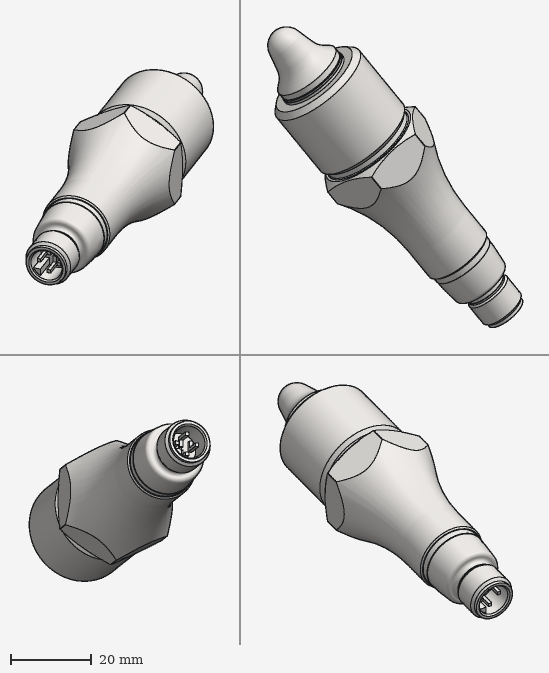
import cadquery as cq
import math

LENGTH = 96.45

MID_QUARTER = 45.0

PLUG_DIAMETER = 12.0
PLUG_END_DIAMETER = 10.6
PLUG_NECK_DIAMETER = 10.6
PLUG_LEDGE_DIAMETER = 11.0
PLUG_END_LENGTH = 0.9
PLUG_LEDGE_START = 7.9
PLUG_NECK_START = 8.35
PLUG_NECK_END = 8.95

SLEEVE_FACE = 9.95
SLEEVE_FRONT_DIAMETER = 15.5
SLEEVE_EDGE_RADIUS = 1.1
SLEEVE_SHOULDER = 18.05
SLEEVE_DIAMETER = 16.6
SLEEVE_SHOULDER_STEP = 0.1
NECK_FILLET = SLEEVE_FACE - PLUG_NECK_END

GRIP_START = 19.8
GRIP_DIAMETER = 18.0
GRIP_CHAMFER = 0.4
BELL_START = 29.0
BELL_RADIUS = 44.0
HEX_SIDES = 6
HEX_ACROSS_FLATS = 27.0
HEX_CORNER_DIAMETER = 31.09
HEX_FACE = 57.6
HEX_FACE_DIAMETER = 26.2
HEX_CHAMFER_ANGLE = 30.0

RELIEF_DIAMETER = 24.4
RELIEF_CHAMFER = 0.25
BARREL_START = 59.2
BARREL_END = 80.2
BARREL_DIAMETER = 26.44
BARREL_END_CHAMFER = 1.5

RIM_DIAMETER = 18.4
RIM_END = 80.9
COLLAR_DIAMETER = 18.0
COLLAR_GROOVE_START = 81.35
COLLAR_GROOVE_WIDTH = 0.3
COLLAR_GROOVE_DEPTH = 0.1
COLLAR_END = 83.3
FLARE_ANGLE = 45.0
FLARE_END = 84.8
TIP_TAPER_ANGLE = 13.0
TIP_CURVE_RADIUS = 6.7
DOME_RADIUS = 4.7

SOCKET_DIAMETER = 8.3
SOCKET_MOUTH_DIAMETER = 9.1
SOCKET_DEPTH = 7.0
KEY_CORNER = 1.85
KEY_SETBACK = 1.0

CONTACT_WIDTH = 0.9
RIB_LENGTH = 2.6
RIB_HEIGHT = 1.0
PIN_HEIGHT = 0.9
PIN_SETBACK = 2.0
END_CONTACT_OUTER = 3.05
SIDE_CONTACT_OFFSET = 2.62
SIDE_CONTACT_BOTTOM = -0.45


def point_on_circle(center, radius, angle):
    """Point of a circle in (radius, Y) coordinates, the angle in degrees from the radial axis."""
    turn = math.radians(angle)
    return (center[0] + radius * math.cos(turn), center[1] + radius * math.sin(turn))


def make_plug_and_bell():
    """Turned half from the plug face to the chamfered hexagon face, before its flats are cut."""
    plug = PLUG_DIAMETER / 2
    plug_end = PLUG_END_DIAMETER / 2
    ledge = PLUG_LEDGE_DIAMETER / 2
    neck = PLUG_NECK_DIAMETER / 2
    sleeve_front = SLEEVE_FRONT_DIAMETER / 2
    sleeve = SLEEVE_DIAMETER / 2
    grip = GRIP_DIAMETER / 2
    corner = HEX_CORNER_DIAMETER / 2
    hex_face = HEX_FACE_DIAMETER / 2

    neck_fillet_center = (neck + NECK_FILLET, PLUG_NECK_END)
    sleeve_edge_center = (sleeve_front - SLEEVE_EDGE_RADIUS, SLEEVE_FACE + SLEEVE_EDGE_RADIUS)
    sleeve_end = SLEEVE_SHOULDER - SLEEVE_SHOULDER_STEP
    sleeve_length = sleeve_end - sleeve_edge_center[1]
    sleeve_drop = sleeve - sleeve_front
    sleeve_radius = (sleeve_length**2 + sleeve_drop**2) / (2 * sleeve_drop)
    sleeve_center = (sleeve - sleeve_radius, sleeve_end)
    sleeve_angle = math.degrees(math.asin(sleeve_length / sleeve_radius))

    bell_center = (grip + BELL_RADIUS, BELL_START)
    bell_angle = math.degrees(math.acos(1 - (corner - grip) / BELL_RADIUS))
    bell_end = BELL_START + BELL_RADIUS * math.sin(math.radians(bell_angle))
    chamfer_height = (corner - hex_face) * math.tan(math.radians(HEX_CHAMFER_ANGLE))

    return (
        cq.Workplane("XY")
        .moveTo(0, 0)
        .lineTo(plug_end, 0)
        .lineTo(plug_end, PLUG_END_LENGTH)
        .lineTo(plug, PLUG_END_LENGTH + plug - plug_end)
        .lineTo(plug, PLUG_LEDGE_START - (plug - ledge))
        .lineTo(ledge, PLUG_LEDGE_START)
        .lineTo(ledge, PLUG_NECK_START)
        .lineTo(neck, PLUG_NECK_START)
        .lineTo(neck, PLUG_NECK_END)
        .threePointArc(
            point_on_circle(neck_fillet_center, NECK_FILLET, 180 - MID_QUARTER),
            (neck + NECK_FILLET, SLEEVE_FACE),
        )
        .lineTo(sleeve_front - SLEEVE_EDGE_RADIUS, SLEEVE_FACE)
        .threePointArc(
            point_on_circle(sleeve_edge_center, SLEEVE_EDGE_RADIUS, -MID_QUARTER),
            (sleeve_front, SLEEVE_FACE + SLEEVE_EDGE_RADIUS),
        )
        .threePointArc(
            point_on_circle(sleeve_center, sleeve_radius, -sleeve_angle / 2),
            (sleeve, sleeve_end),
        )
        .lineTo(sleeve + SLEEVE_SHOULDER_STEP, SLEEVE_SHOULDER)
        .lineTo(sleeve + SLEEVE_SHOULDER_STEP, GRIP_START)
        .lineTo(grip - GRIP_CHAMFER, GRIP_START)
        .lineTo(grip, GRIP_START + GRIP_CHAMFER)
        .lineTo(grip, BELL_START)
        .threePointArc(
            point_on_circle(bell_center, BELL_RADIUS, 180 - bell_angle / 2),
            (corner, bell_end),
        )
        .lineTo(corner, HEX_FACE - chamfer_height)
        .lineTo(hex_face, HEX_FACE)
        .lineTo(0, HEX_FACE)
        .close()
        .revolve(360, (0, 0), (0, 1))
    )


def make_hexagon():
    """Hexagonal prism with corners at +Z and -Z and flats at +X and -X."""
    across_corners = HEX_ACROSS_FLATS / math.cos(math.pi / HEX_SIDES)
    return (
        cq.Workplane("XZ")
        .polygon(HEX_SIDES, across_corners)
        .extrude(-HEX_FACE)
        .rotate((0, 0, 0), (0, 1, 0), 90)
    )


def make_barrel_and_tip():
    """Turned half from the hexagon face to the rounded tip."""
    relief = RELIEF_DIAMETER / 2
    barrel = BARREL_DIAMETER / 2
    rim = RIM_DIAMETER / 2
    collar = COLLAR_DIAMETER / 2
    groove = collar - COLLAR_GROOVE_DEPTH
    groove_end = COLLAR_GROOVE_START + COLLAR_GROOVE_WIDTH

    flare_turn = math.radians(FLARE_ANGLE)
    flare_end = collar - (FLARE_END - COLLAR_END) * math.tan(flare_turn)
    curve_center = (
        flare_end + TIP_CURVE_RADIUS * math.cos(flare_turn),
        FLARE_END + TIP_CURVE_RADIUS * math.sin(flare_turn),
    )
    curve_end = point_on_circle(curve_center, TIP_CURVE_RADIUS, 180 + TIP_TAPER_ANGLE)
    dome_center = (0, LENGTH - DOME_RADIUS)
    dome_start = point_on_circle(dome_center, DOME_RADIUS, TIP_TAPER_ANGLE)

    return (
        cq.Workplane("XY")
        .moveTo(0, HEX_FACE)
        .lineTo(relief + RELIEF_CHAMFER, HEX_FACE)
        .lineTo(relief, HEX_FACE + RELIEF_CHAMFER)
        .lineTo(relief, BARREL_START)
        .lineTo(barrel, BARREL_START + barrel - relief)
        .lineTo(barrel, BARREL_END - BARREL_END_CHAMFER)
        .lineTo(barrel - BARREL_END_CHAMFER, BARREL_END)
        .lineTo(rim, BARREL_END)
        .lineTo(rim, RIM_END)
        .lineTo(collar, RIM_END)
        .lineTo(collar, COLLAR_GROOVE_START)
        .lineTo(groove, COLLAR_GROOVE_START)
        .lineTo(groove, groove_end)
        .lineTo(collar, groove_end)
        .lineTo(collar, COLLAR_END)
        .lineTo(flare_end, FLARE_END)
        .threePointArc(
            point_on_circle(curve_center, TIP_CURVE_RADIUS, 180 + (FLARE_ANGLE + TIP_TAPER_ANGLE) / 2),
            curve_end,
        )
        .lineTo(*dome_start)
        .threePointArc(
            point_on_circle(dome_center, DOME_RADIUS, (TIP_TAPER_ANGLE + 90) / 2),
            (0, LENGTH),
        )
        .close()
        .revolve(360, (0, 0), (0, 1))
    )


def make_socket():
    """Space inside the plug, with a chamfered mouth and a corner left standing as the key."""
    bore = SOCKET_DIAMETER / 2
    mouth = SOCKET_MOUTH_DIAMETER / 2
    socket = (
        cq.Workplane("XY")
        .polyline([(0, 0), (mouth, 0), (bore, mouth - bore), (bore, SOCKET_DEPTH), (0, SOCKET_DEPTH)])
        .close()
        .revolve(360, (0, 0), (0, 1))
    )
    key = (
        cq.Workplane("XY")
        .box(bore, SOCKET_DEPTH, bore, centered=False)
        .translate((-KEY_CORNER - bore, KEY_SETBACK, -KEY_CORNER - bore))
    )
    return socket.cut(key)


def make_contact(x, bottom, pin_at_top):
    """Rib on the socket floor from Z = bottom upwards, with its pin at the top or bottom end."""
    rib = cq.Workplane("XY").box(CONTACT_WIDTH, RIB_HEIGHT, RIB_LENGTH, centered=(True, False, False))
    rib = rib.translate((x, SOCKET_DEPTH - RIB_HEIGHT, bottom))
    pin_length = SOCKET_DEPTH - PIN_SETBACK
    pin_bottom = bottom + RIB_LENGTH - PIN_HEIGHT if pin_at_top else bottom
    pin = cq.Workplane("XY").box(CONTACT_WIDTH, pin_length, PIN_HEIGHT, centered=(True, False, False))
    return rib.union(pin.translate((x, PIN_SETBACK, pin_bottom)))


result = make_plug_and_bell().intersect(make_hexagon())
result = result.union(make_barrel_and_tip())
result = result.cut(make_socket())

contacts = [
    (0, END_CONTACT_OUTER - RIB_LENGTH, True),
    (0, -END_CONTACT_OUTER, False),
    (-SIDE_CONTACT_OFFSET, SIDE_CONTACT_BOTTOM, False),
    (SIDE_CONTACT_OFFSET, SIDE_CONTACT_BOTTOM, False),
]
for x, bottom, pin_at_top in contacts:
    result = result.union(make_contact(x, bottom, pin_at_top))